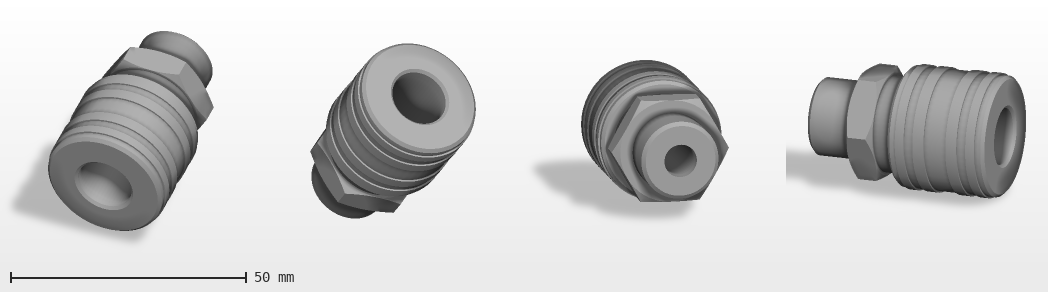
import cadquery as cq
import math

total_length = 42.0

sleeve_diameter = 26.05
sleeve_end = 22.0
sleeve_chamfer = 0.67
ring_diameter = 26.8
ring_spans = [(2.0, 4.0), (6.0, 8.5), (13.5, 16.0), (18.0, 20.0)]

neck_diameter = 20.75
hex_start = 26.0
hex_end = 32.0
hex_across_flats = 22.0
hex_chamfer_angle = 30.0
spigot_diameter = 16.7
spigot_chamfer = 0.8

socket_diameter = 12.2
socket_depth = 22.0
socket_chamfer = 0.6
bore_diameter = 7.0


def cylinder(diameter, start, end):
    """Solid cylinder on the Y axis between two stations."""
    plane = cq.Workplane("XZ", origin=(0, start, 0))
    return plane.circle(diameter / 2).extrude(start - end)


def make_sleeve():
    sleeve = cylinder(sleeve_diameter, 0, sleeve_end).edges().chamfer(sleeve_chamfer)
    for start, end in ring_spans:
        sleeve = sleeve.union(cylinder(ring_diameter, start, end))
    return sleeve


def make_hexagon():
    """Hexagon with corners on X, both ends turned to a cone that meets the flats."""
    corner_diameter = hex_across_flats / math.cos(math.radians(30))
    prism = (
        cq.Workplane("XZ", origin=(0, hex_start, 0))
        .polygon(6, corner_diameter)
        .extrude(hex_start - hex_end)
    )
    flat_radius = hex_across_flats / 2
    corner_radius = corner_diameter / 2
    corner_drop = (corner_radius - flat_radius) * math.tan(math.radians(hex_chamfer_angle))
    turned_blank = (
        cq.Workplane("XY")
        .moveTo(0, hex_start)
        .lineTo(flat_radius, hex_start)
        .lineTo(corner_radius, hex_start + corner_drop)
        .lineTo(corner_radius, hex_end - corner_drop)
        .lineTo(flat_radius, hex_end)
        .lineTo(0, hex_end)
        .close()
        .revolve(360, (0, 0, 0), (0, 1, 0))
    )
    return prism.intersect(turned_blank)


def make_spigot():
    return cylinder(spigot_diameter, hex_end, total_length).faces(">Y").chamfer(spigot_chamfer)


def make_cavity():
    """Socket with a chamfered mouth, continued by the narrower through bore."""
    socket_radius = socket_diameter / 2
    mouth_radius = socket_radius + socket_chamfer
    bore_radius = bore_diameter / 2
    return (
        cq.Workplane("XY")
        .lineTo(mouth_radius, 0)
        .lineTo(socket_radius, socket_chamfer)
        .lineTo(socket_radius, socket_depth)
        .lineTo(bore_radius, socket_depth)
        .lineTo(bore_radius, total_length)
        .lineTo(0, total_length)
        .close()
        .revolve(360, (0, 0, 0), (0, 1, 0))
    )


result = (
    make_sleeve()
    .union(cylinder(neck_diameter, sleeve_end, hex_start))
    .union(make_hexagon())
    .union(make_spigot())
    .cut(make_cavity())
)